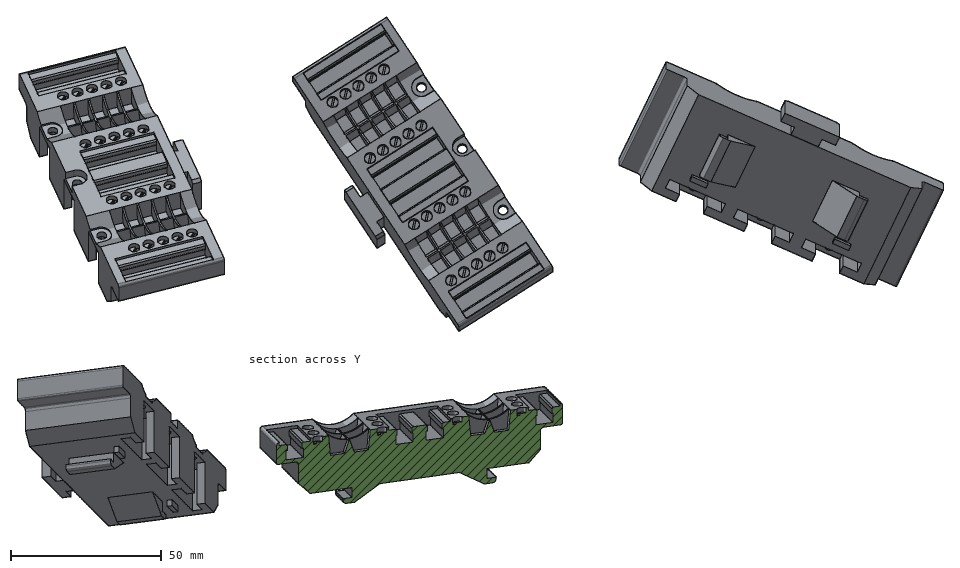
import cadquery as cq
import math


length = 101.6
depth = 37.2
height = 19.9
wing_bottom = 12.0
waist_half = 43.0
base_chamfer = 4.2
top_end_fillet = 1.0
bottom_end_fillet = 0.6
waist_fillet = 1.1

station_pitch = 24.9
stations = [-station_pitch, 0, station_pitch]
valley_stations = [-station_pitch, station_pitch]

valley_half = 7.3
valley_depth = 2.8
valley_bottom = height - valley_depth

row_count = 5
row_pitch = 5.1
first_row_y = 10.5
row_ys = [first_row_y + row_pitch * i for i in range(row_count)]
cell_width = 4.5
cell_floor = 12.8
cell_draft = 0.66
ridge_top_half = 0.25
ridge_slope_run = 1.5

screw_radius = 1.8
screw_sink = 1.7
screw_slot_width = 0.6
screw_slot_depth = 0.6
screw_slot_angle = -45
outer_screw_x = 36.2
inner_screw_x = 13.4

socket_back_y = 33.6
ledge_sink = 1.0
ledge_width = 2.4
slot_width = 6.1
slot_chamfer = 0.5
lip_height = 1.8
lip_undercut = 0.4
slot_depth = 6.5
slot_ridge = 4.7
end_socket_width = 2 * ledge_width + slot_width
end_socket_x = length / 2 - top_end_fillet - end_socket_width / 2
end_socket_front_y = 2.8
mid_socket_width = 2 * ledge_width + 2 * slot_width + slot_ridge
mid_socket_front_y = 7.6
mid_slot_x = (slot_width + slot_ridge) / 2

hole_diameter = 3.3
hole_y = 2.9
recess_radius = 3.3
recess_depth = 3.0

key_stem_width = 10.1
key_stem_depth = 2.8
key_head_width = 20.0
key_depth = 6.0
key_bottom = 0.3
key_top = 14.6
key_chamfer = 1.0
key_play = 0.2

hook_front_y = 12.8
hook_back_y = 28.5
hook_depth = 5.4
hook_tip_x = 27.2
hook_neck_x = 24.1
hook_toe_x = 23.1
hook_root_x = 14.1
hook_lip_depth = 3.4
hook_fillet = 1.4
peg_inner_x = 23.2
peg_outer_x = 29.1
peg_front_y = 9.1
peg_back_y = 10.9
peg_height = 2.1


def box(x0, x1, y0, y1, z0, z1):
    return cq.Workplane("XY").box(x1 - x0, y1 - y0, z1 - z0, centered=False).translate((x0, y0, z0))


def prism(points, y0, y1):
    """Extrude a closed XZ outline from y0 back to y1."""
    return cq.Workplane("XZ", origin=(0, y0, 0)).polyline(points).close().extrude(y0 - y1)


def mirror_x(shape):
    return shape.union(shape.mirror("YZ"))


def body():
    end = length / 2
    right_side = [
        (waist_half - base_chamfer, 0),
        (waist_half, base_chamfer),
        (waist_half, wing_bottom),
        (end, wing_bottom),
        (end, height),
    ]
    left_side = [(-x, z) for x, z in reversed(right_side)]
    block = prism(right_side + left_side, 0, depth)

    def edges_at(x, z):
        """The two mirrored edges along Y at +-x and height z."""
        region = cq.selectors.BoxSelector
        reach = 0.1
        right = region((x - reach, -reach, z - reach), (x + reach, depth + reach, z + reach))
        left = region((-x - reach, -reach, z - reach), (-x + reach, depth + reach, z + reach))
        return right + left

    block = block.edges(edges_at(waist_half, wing_bottom)).fillet(waist_fillet)
    block = block.edges(edges_at(end, wing_bottom)).fillet(bottom_end_fillet)
    return block.edges(edges_at(end, height)).fillet(top_end_fillet)


def valley(x):
    return (
        cq.Workplane("XZ")
        .moveTo(x - valley_half, height)
        .threePointArc((x, valley_bottom), (x + valley_half, height))
        .close()
        .extrude(-depth)
    )


def wire_cell(x, y):
    """Two drafted pits, leaving a steep ridge between them along the valley bottom."""
    pit = [
        (ridge_top_half, height),
        (ridge_top_half, valley_bottom),
        (ridge_top_half + ridge_slope_run, cell_floor),
        (valley_half - cell_draft, cell_floor),
        (valley_half, height),
    ]
    half = prism(pit, y - cell_width / 2, y + cell_width / 2)
    return mirror_x(half).translate((x, 0, 0))


def screw_hole(x, y):
    """Sunken screw head with a diagonal driver slot."""
    seat = height - screw_sink
    hole = cq.Workplane("XY").circle(screw_radius).extrude(screw_sink)
    slot_blank = cq.Workplane("XY").circle(screw_radius).extrude(-screw_slot_depth)
    slot_band = (
        cq.Workplane("XY")
        .rect(2 * screw_radius, screw_slot_width)
        .extrude(-screw_slot_depth)
        .rotate((0, 0, 0), (0, 0, 1), screw_slot_angle)
    )
    return hole.union(slot_blank.intersect(slot_band)).translate((x, y, seat))


def socket(x, width, front_y, slot_xs):
    ledge_z = height - ledge_sink
    cutter = box(x - width / 2, x + width / 2, front_y, socket_back_y, ledge_z, height)
    mouth = slot_width / 2
    throat = mouth - slot_chamfer
    chamfer_z = ledge_z - slot_chamfer
    lip_z = chamfer_z - lip_height
    right_side = [
        (throat + lip_undercut, height - slot_depth),
        (throat + lip_undercut, lip_z),
        (throat, lip_z),
        (throat, chamfer_z),
        (mouth, ledge_z),
    ]
    left_side = [(-px, pz) for px, pz in reversed(right_side)]
    slot = prism(right_side + left_side, front_y, socket_back_y)
    for slot_x in slot_xs:
        cutter = cutter.union(slot.translate((slot_x, 0, 0)))
    return cutter


def mounting_hole(x):
    recess_z = height - recess_depth
    through = cq.Workplane("XY").center(x, hole_y).circle(hole_diameter / 2).extrude(height)
    head = (
        cq.Workplane("XY", origin=(x, hole_y, recess_z)).circle(recess_radius).extrude(recess_depth)
    )
    opening = box(x - recess_radius, x + recess_radius, 0, hole_y, recess_z, height)
    return through.union(head).union(opening)


def key_slot(x):
    stem = key_stem_width / 2
    head = key_head_width / 2 + key_play
    neck = box(x - stem, x + stem, 0, key_stem_depth, 0, key_top)
    cavity = box(x - head, x + head, key_stem_depth, key_depth + key_play, 0, key_top)
    return neck.union(cavity)


def key():
    stem = key_stem_width / 2
    head = key_head_width / 2
    head_y = depth + key_stem_depth
    neck = box(-stem, stem, depth, head_y, key_bottom, key_top)
    bar = box(-head, head, head_y, depth + key_depth, key_bottom, key_top)
    bar = bar.edges("|Y and >Z").chamfer(key_chamfer)
    return neck.union(bar)


def hook():
    bend = hook_fillet * math.sqrt(0.5)
    bend_x = hook_tip_x - hook_fillet
    bend_z = hook_fillet - hook_depth
    return (
        cq.Workplane("XZ", origin=(0, hook_front_y, 0))
        .moveTo(hook_root_x, 0)
        .lineTo(hook_toe_x, -hook_depth)
        .lineTo(bend_x, -hook_depth)
        .threePointArc((bend_x + bend, bend_z - bend), (hook_tip_x, bend_z))
        .lineTo(hook_tip_x, -hook_lip_depth)
        .lineTo(hook_neck_x, -hook_lip_depth)
        .lineTo(hook_neck_x, 0)
        .close()
        .extrude(hook_front_y - hook_back_y)
    )


def peg():
    return box(peg_inner_x, peg_outer_x, peg_front_y, peg_back_y, -peg_height, 0)


part = body()

for station_x in valley_stations:
    part = part.cut(valley(station_x))
    for row_y in row_ys:
        part = part.cut(wire_cell(station_x, row_y))

for screw_x in [-outer_screw_x, -inner_screw_x, inner_screw_x, outer_screw_x]:
    for row_y in row_ys:
        part = part.cut(screw_hole(screw_x, row_y))

for socket_x in [-end_socket_x, end_socket_x]:
    part = part.cut(socket(socket_x, end_socket_width, end_socket_front_y, [socket_x]))
part = part.cut(socket(0, mid_socket_width, mid_socket_front_y, [-mid_slot_x, mid_slot_x]))

for station_x in stations:
    part = part.cut(key_slot(station_x))
    part = part.cut(mounting_hole(station_x))

part = part.union(key())
part = part.union(mirror_x(hook()))
part = part.union(mirror_x(peg()))

result = part